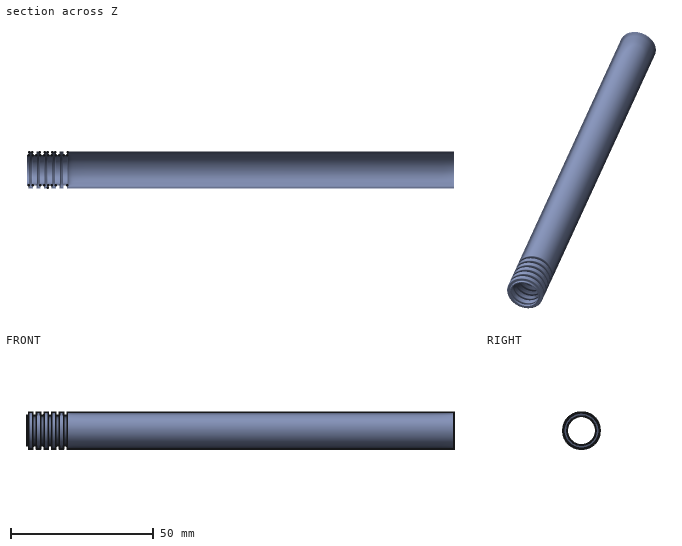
import cadquery as cq

length = 150.0
outer_radius = 13.0 / 2
wall = 0.3

valley_radius = 10.6 / 2
crest_count = 5
crest_pitch = 2.7
crest_width = 1.5
first_crest_start = 0.6

outside_rounding = 0.22
cavity_rounding = 0.2

barrel_start = first_crest_start + crest_count * crest_pitch


def rise(profile, x, valley, crest, rounding):
    """Continue the profile up a wall at x, from valley to crest, rounding both corners."""
    return (
        profile.lineTo(x - rounding, valley)
        .radiusArc((x, valley + rounding), -rounding)
        .lineTo(x, crest - rounding)
        .radiusArc((x + rounding, crest), rounding)
    )


def fall(profile, x, valley, crest, rounding):
    """Continue the profile down a wall at x, from crest to valley, rounding both corners."""
    return (
        profile.lineTo(x - rounding, crest)
        .radiusArc((x, crest - rounding), rounding)
        .lineTo(x, valley + rounding)
        .radiusArc((x + rounding, valley), -rounding)
    )


def corrugated_body(inset, rounding):
    """Solid of revolution about X whose surface lies inset below the outside of the tube."""
    crest = outer_radius - inset
    valley = valley_radius - inset
    profile = cq.Workplane("XY").lineTo(0, valley)
    for index in range(crest_count):
        crest_start = first_crest_start + index * crest_pitch
        crest_end = crest_start + crest_width
        profile = rise(profile, crest_start + inset, valley, crest, rounding)
        profile = fall(profile, crest_end - inset, valley, crest, rounding)
    profile = rise(profile, barrel_start + inset, valley, crest, rounding)
    profile = profile.lineTo(length, crest).lineTo(length, 0).close()
    return profile.revolve(360, (0, 0, 0), (1, 0, 0))


outside = corrugated_body(0, outside_rounding)
cavity = corrugated_body(wall, cavity_rounding)
result = outside.cut(cavity)